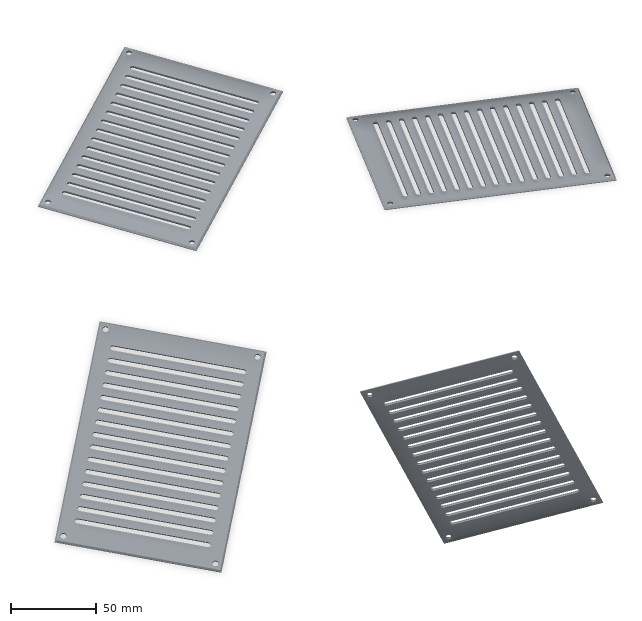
import cadquery as cq

plate_width = 100.0
plate_length = 140.0
plate_thickness = 1.5
bevel = 1.0

hole_diameter = 3.5
hole_inset = 4.5

slot_count = 15
slot_pitch = 7.8
slot_length = 81.2
slot_width = 3.0


def make_plate():
    """Flat rectangular plate with its top edges bevelled."""
    plate = cq.Workplane("XY").box(
        plate_width, plate_length, plate_thickness, centered=(True, True, False)
    )
    return plate.faces(">Z").edges().chamfer(bevel)


def cut_corner_holes(plate):
    """Through hole near each corner."""
    hole_span_x = plate_width - 2 * hole_inset
    hole_span_y = plate_length - 2 * hole_inset
    return (
        plate.faces(">Z").workplane()
        .rarray(hole_span_x, hole_span_y, 2, 2)
        .hole(hole_diameter)
    )


def cut_slots(plate):
    """Centred column of round-ended through slots running along X."""
    return (
        plate.faces(">Z").workplane()
        .rarray(1.4, slot_pitch, 1, slot_count)
        .slot2D(slot_length, slot_width)
        .cutThruAll()
    )


result = cut_slots(cut_corner_holes(make_plate()))